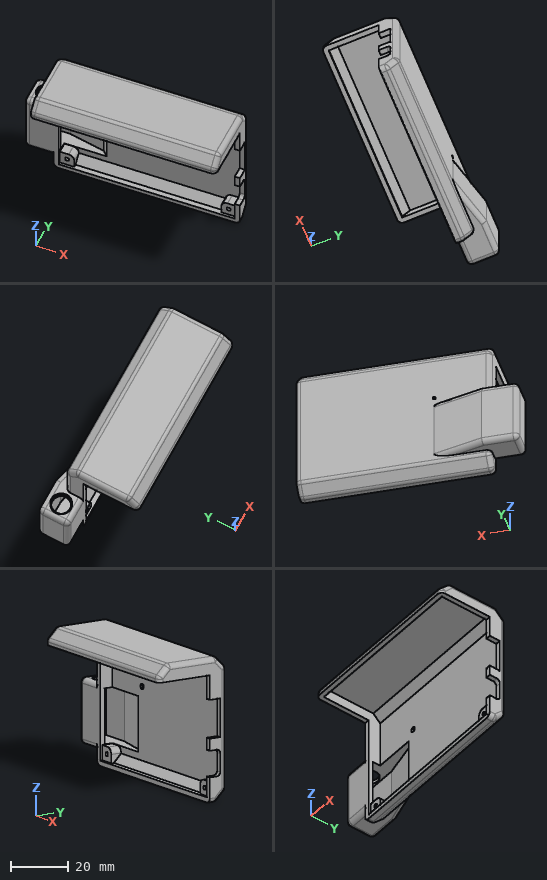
import cadquery as cq
import math

WALL = 2.0
EDGE_RADIUS = 2.0
LENGTH = 82.0

CASE_LEFT = 11.15
CASE_DEPTH = 28.9
CASE_HEIGHT = 52.5
CASE_CHAMFER = 4.2
RIM_Y = 21.7
LID_UNDERSIDE_Z = 46.2

SLEEVE_BACK = 33.9
SLEEVE_BOTTOM = 5.7
SLEEVE_TOP = 29.7
SLEEVE_RAMP_START_X = 13.3
SLEEVE_RAMP_END_X = 31.8
SLEEVE_HOLE_DIAMETER = 7.0
SLEEVE_HOLE_X = (SLEEVE_BACK - RIM_Y) / 2
SLEEVE_HOLE_Y = (SLEEVE_BACK + RIM_Y) / 2
SLEEVE_HOLE_CHAMFER = 0.4

PASSAGE_STEP_X = 27.2
PASSAGE_END_X = 29.3

BOSS_SIZE = 5.5
BOSS_RADIUS = 2.2
BOSS_SETBACK = 1.0
BOSS_HOLE_DIAMETER = 1.5
BOSS_HOLE_INSET = BOSS_SIZE / 2
BOSS_HOLE_DEPTH = 4.0

PIN_X = 31.75
PIN_Z = 31.6
PIN_DIAMETER = 1.0
PIN_MOUTH_DIAMETER = 2.0

NOTCH_DEPTH = 4.4
LOWER_NOTCH_BOTTOM = 9.4
LOWER_NOTCH_TOP = 19.0
LOWER_NOTCH_RADIUS = 1.5
UPPER_NOTCH_BOTTOM = 23.4
UPPER_NOTCH_TOP = 37.3

CAVITY_LEFT = CASE_LEFT + WALL
CAVITY_RIGHT = LENGTH - WALL
CAVITY_BACK = CASE_DEPTH - WALL
CUTTER_MARGIN = 0.8


def box(x_range, y_range, z_range):
    """Axis-aligned block between the given limits."""
    size = [high - low for low, high in (x_range, y_range, z_range)]
    corner = (x_range[0], y_range[0], z_range[0])
    return cq.Workplane("XY").box(*size, centered=False).translate(corner)


def octagon_bar(left, right, inset, chamfer):
    """Bar along X whose Y-Z section is the case section moved inward by inset."""
    bar = box((left, right), (inset, CASE_DEPTH - inset), (inset, CASE_HEIGHT - inset))
    return bar.edges("|X").chamfer(chamfer)


def case_outside():
    """Rounded case, cut back to an L so that only its back and lid remain."""
    bar = octagon_bar(CASE_LEFT, LENGTH, 0, CASE_CHAMFER).edges().fillet(EDGE_RADIUS)
    opening = box(
        (CASE_LEFT - CUTTER_MARGIN, LENGTH + CUTTER_MARGIN),
        (-CUTTER_MARGIN, RIM_Y),
        (-CUTTER_MARGIN, LID_UNDERSIDE_Z),
    )
    return bar.cut(opening)


def case_cavity():
    """Hollow of the case, reaching up into the lid."""
    inner_chamfer = CASE_CHAMFER - WALL * (2 - math.sqrt(2))
    return octagon_bar(CAVITY_LEFT, CAVITY_RIGHT, WALL, inner_chamfer)


def sleeve_outside():
    """Rounded block with a tapered tail that dies into the back of the case."""
    ramp_slope = (SLEEVE_BACK - CASE_DEPTH) / (SLEEVE_RAMP_END_X - SLEEVE_RAMP_START_X)
    tail_y = CASE_DEPTH - WALL / 2
    tail_x = SLEEVE_RAMP_END_X + (CASE_DEPTH - tail_y) / ramp_slope
    block = (
        cq.Workplane("XY", origin=(0, 0, SLEEVE_BOTTOM))
        .polyline([
            (0, RIM_Y),
            (CAVITY_LEFT, RIM_Y),
            (tail_x, tail_y),
            (SLEEVE_RAMP_START_X, SLEEVE_BACK),
            (0, SLEEVE_BACK),
        ])
        .close()
        .extrude(SLEEVE_TOP - SLEEVE_BOTTOM)
    )
    return block.faces("<X or <Z or >Z").edges().fillet(EDGE_RADIUS)


def sleeve_cavity():
    """Hollow of the sleeve and its passage through the back of the case."""
    cavity_front = RIM_Y + WALL
    cavity_back = SLEEVE_BACK - WALL
    step_depth = PASSAGE_END_X - PASSAGE_STEP_X
    return (
        cq.Workplane("XY", origin=(0, 0, SLEEVE_BOTTOM + WALL))
        .polyline([
            (WALL, cavity_front),
            (CAVITY_LEFT, cavity_front),
            (CAVITY_LEFT, CAVITY_BACK),
            (PASSAGE_END_X, CAVITY_BACK),
            (PASSAGE_STEP_X, CAVITY_BACK + step_depth),
            (CAVITY_LEFT, cavity_back),
            (WALL, cavity_back),
        ])
        .close()
        .extrude(SLEEVE_TOP - SLEEVE_BOTTOM - 2 * WALL)
    )


def sleeve_hole():
    """Chamfered round hole through the top wall of the sleeve."""
    radius = SLEEVE_HOLE_DIAMETER / 2
    mouth_radius = radius + SLEEVE_HOLE_CHAMFER
    hole = (
        cq.Workplane("XY", origin=(SLEEVE_HOLE_X, SLEEVE_HOLE_Y, SLEEVE_TOP))
        .circle(radius)
        .extrude(-WALL - CUTTER_MARGIN)
    )
    mouth = cq.Solid.makeCone(
        mouth_radius,
        radius,
        SLEEVE_HOLE_CHAMFER,
        pnt=cq.Vector(SLEEVE_HOLE_X, SLEEVE_HOLE_Y, SLEEVE_TOP),
        dir=cq.Vector(0, 0, -1),
    )
    return hole.union(cq.Workplane(mouth))


def pin_hole():
    """Hole through the back wall, countersunk from the inside."""
    radius = PIN_DIAMETER / 2
    mouth_radius = PIN_MOUTH_DIAMETER / 2
    hole = (
        cq.Workplane("XZ", origin=(PIN_X, CAVITY_BACK, PIN_Z))
        .circle(radius)
        .extrude(-WALL - CUTTER_MARGIN)
    )
    mouth = cq.Solid.makeCone(
        mouth_radius,
        radius,
        mouth_radius - radius,
        pnt=cq.Vector(PIN_X, CAVITY_BACK, PIN_Z),
        dir=cq.Vector(0, 1, 0),
    )
    return hole.union(cq.Workplane(mouth))


def notch(bottom, top):
    """Cutter for a rectangular notch running in from the rim of the right wall."""
    return box(
        (CAVITY_RIGHT - CUTTER_MARGIN, LENGTH + CUTTER_MARGIN),
        (RIM_Y - CUTTER_MARGIN, RIM_Y + NOTCH_DEPTH),
        (bottom, top),
    )


def screw_boss(wall_x, inward):
    """Boss in a lower corner; inward is +1 or -1 along X, pointing away from the side wall."""
    front = RIM_Y + BOSS_SETBACK
    inner_x = wall_x + inward * BOSS_SIZE
    outer_x = wall_x - inward * WALL / 2
    block = box(
        sorted((outer_x, inner_x)),
        (front, CASE_DEPTH - WALL / 2),
        (WALL / 2, WALL + BOSS_SIZE),
    )
    inner_side = ">X" if inward > 0 else "<X"
    block = block.faces(inner_side).edges(">Z").fillet(BOSS_RADIUS)
    hole = (
        cq.Workplane("XZ", origin=(wall_x + inward * BOSS_HOLE_INSET, front, WALL + BOSS_HOLE_INSET))
        .circle(BOSS_HOLE_DIAMETER / 2)
        .extrude(-BOSS_HOLE_DEPTH)
    )
    return block, hole


outside = case_outside()
result = outside.union(sleeve_outside())
for cutter in (case_cavity(), sleeve_cavity(), sleeve_hole(), pin_hole()):
    result = result.cut(cutter)

lower_notch = notch(LOWER_NOTCH_BOTTOM, LOWER_NOTCH_TOP)
lower_notch = lower_notch.faces(">Y").edges("|X").fillet(LOWER_NOTCH_RADIUS)
result = result.cut(lower_notch)
result = result.cut(notch(UPPER_NOTCH_BOTTOM, UPPER_NOTCH_TOP))

for wall_x, inward in ((CAVITY_LEFT, 1), (CAVITY_RIGHT, -1)):
    boss, boss_hole = screw_boss(wall_x, inward)
    result = result.union(boss.intersect(outside)).cut(boss_hole)